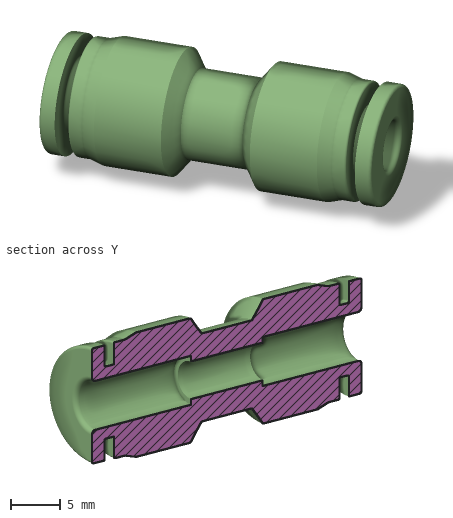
import cadquery as cq


waist_end = 3.3
shoulder_start = 4.77
shoulder_end = 11.95
collar_start = 13.42
collar_end = 14.9
flange_start = 16.1
part_length = 35.6
half_length = part_length / 2

waist_diameter = 9.5
shoulder_diameter = 13.4
collar_diameter = 12.5
neck_diameter = 7.8

flange_width = 13.8
flange_height = 12.4
flange_thickness = half_length - flange_start

bore_diameter = 4.0
socket_diameter = 5.2
socket_bottom = shoulder_start

collar_rounding = 0.2
neck_rounding = 0.2
flange_rounding = 0.3
socket_rounding = 0.5


def section_plane(x):
    """Plane normal to the part axis at the given axial position."""
    return cq.Workplane("YZ", origin=(x, 0, 0))


def axial_cylinder(start, end, diameter):
    """Cylinder on the part axis between two axial positions."""
    return section_plane(start).circle(diameter / 2).extrude(end - start)


def end_body():
    """Revolved right end of the body: cone, shoulder, taper, collar and neck."""
    shoulder_radius = shoulder_diameter / 2
    collar_radius = collar_diameter / 2
    neck_radius = neck_diameter / 2
    profile = (
        cq.Workplane("XY")
        .moveTo(waist_end, 0)
        .lineTo(waist_end, waist_diameter / 2)
        .lineTo(shoulder_start, shoulder_radius)
        .lineTo(shoulder_end, shoulder_radius)
        .lineTo(collar_start, collar_radius)
        .lineTo(collar_end - collar_rounding, collar_radius)
        .radiusArc((collar_end, collar_radius - collar_rounding), collar_rounding)
        .lineTo(collar_end, neck_radius)
        .lineTo(flange_start - neck_rounding, neck_radius)
        .radiusArc((flange_start, neck_radius + neck_rounding), -neck_rounding)
        .lineTo(flange_start, 0)
        .close()
    )
    return profile.revolve(360, (0, 0, 0), (1, 0, 0))


def flange():
    """Oval flange at the right end with a rounded outer rim."""
    oval = section_plane(flange_start).ellipse(flange_width / 2, flange_height / 2)
    return oval.extrude(flange_thickness).faces(">X").edges().fillet(flange_rounding)


def socket():
    """Cutter for the right tube socket with its rounded mouth."""
    socket_radius = socket_diameter / 2
    mouth_start = half_length - socket_rounding
    mouth_radius = socket_radius + socket_rounding
    profile = (
        cq.Workplane("XY")
        .moveTo(socket_bottom, 0)
        .lineTo(socket_bottom, socket_radius)
        .lineTo(mouth_start, socket_radius)
        .radiusArc((half_length, mouth_radius), -socket_rounding)
        .lineTo(half_length, 0)
        .close()
    )
    return profile.revolve(360, (0, 0, 0), (1, 0, 0))


right_end = end_body().union(flange()).cut(socket())
left_end = right_end.mirror("YZ")
waist = axial_cylinder(-waist_end, waist_end, waist_diameter)
bore = axial_cylinder(-half_length, half_length, bore_diameter)

result = waist.union(right_end).union(left_end).cut(bore)